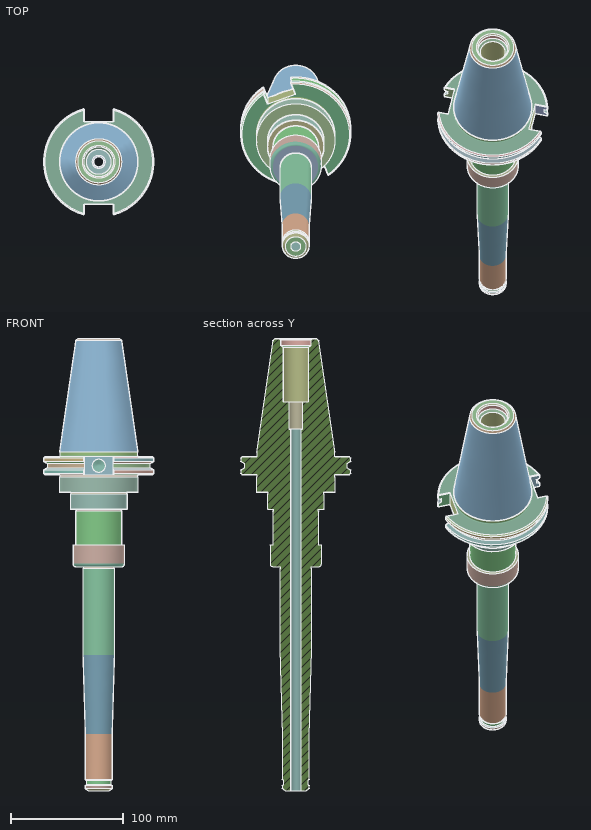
import cadquery as cq
import math

length = 402.0
edge_tolerance = 0.05

taper_depth = 101.0
gauge_diameter = 70.0
taper_ratio = 7 / 24
tip_diameter = gauge_diameter - taper_ratio * taper_depth
tip_chamfer = 1.5
relief_depth = 0.5
relief_diameter = gauge_diameter - 2 * relief_depth
relief_fillet = 1.0

flange_diameter = 98.0
flange_top = 105.0
flange_thickness = 16.0
flange_bottom = flange_top + flange_thickness
flange_chamfer = 1.2
flange_middle = flange_top + flange_thickness / 2
groove_root_diameter = 91.5
groove_root_width = 3.5
groove_flank_angle = 30
groove_depth = (flange_diameter - groove_root_diameter) / 2
groove_rim_width = groove_root_width + 2 * groove_depth * math.tan(math.radians(groove_flank_angle))

slot_width = 25.7
slot_edge_chamfer = 0.6
front_slot_floor = 37.8
back_slot_floor = 35.8
slot_hole_diameter = 11.5
slot_hole_depth = 1.2
drill_point_angle = 140

shoulder_start = 123.0
undercut_depth, undercut_height = 0.5, 1.2
shoulder_diameter, shoulder_end = gauge_diameter, 136.5
collar_diameter, collar_end = 50.5, 152.0
collar_chamfer = 0.5
neck_diameter, neck_end = 41.0, 183.3
nut_diameter, nut_end = 46.0, 203.0
nut_fillet = 3.0
stem_diameter, stem_end = 28.0, 281.5
cone_end = 351.3
pilot_diameter = 24.0

ring_groove_top, ring_groove_bottom = 392.0, 397.0
ring_groove_diameter = 22.0
ring_groove_bevel = 1.0
end_diameter = 18.5
end_chamfer_height = 2.0

mouth_diameter = 29.0
counterbore_diameter = 26.5
mouth_chamfer = (mouth_diameter - counterbore_diameter) / 2
counterbore_depth = 6.0
bore_diameter = 22.0
bore_bevel_height = 2.0
bore_depth = 56.3
entry_diameter = 11.5
through_diameter = 9.0
entry_depth = 80.5


def revolve(stations):
    """Solid of revolution about Z through (diameter, depth) stations, closed along the axis."""
    points = [(diameter / 2, length - depth) for diameter, depth in stations]
    outline = [(0, points[0][1])] + points + [(0, points[-1][1])]
    return cq.Workplane("XZ").polyline(outline).close().revolve(360, (0, 0), (0, 1))


def round_edge(solid, diameter, depth, radius):
    """Fillet the circular edge of the given diameter at the given depth."""
    height = length - depth

    def is_wanted(edge):
        same_size = abs(edge.radius() - diameter / 2) < edge_tolerance
        same_height = abs(edge.Center().z - height) < edge_tolerance
        return same_size and same_height

    return solid.edges("%CIRCLE").filter(is_wanted).fillet(radius)


def undercut(diameter, start):
    """Stations of a shallow square undercut at the top of a cylinder of the given diameter."""
    root_diameter = diameter - 2 * undercut_depth
    end = start + undercut_height
    return [(root_diameter, start), (root_diameter, end), (diameter, end)]


def make_body():
    rim = flange_diameter - 2 * flange_chamfer
    body = revolve([
        (tip_diameter - 2 * tip_chamfer, 0),
        (tip_diameter + taper_ratio * tip_chamfer, tip_chamfer),
        (gauge_diameter, taper_depth),
        (relief_diameter, taper_depth),
        (relief_diameter, flange_top),
        (rim, flange_top),
        (flange_diameter, flange_top + flange_chamfer),
        (flange_diameter, flange_middle - groove_rim_width / 2),
        (groove_root_diameter, flange_middle - groove_root_width / 2),
        (groove_root_diameter, flange_middle + groove_root_width / 2),
        (flange_diameter, flange_middle + groove_rim_width / 2),
        (flange_diameter, flange_bottom - flange_chamfer),
        (rim, flange_bottom),
        (relief_diameter, flange_bottom),
        (relief_diameter, shoulder_start),
        (shoulder_diameter, shoulder_start),
        (shoulder_diameter, shoulder_end),
        *undercut(collar_diameter, shoulder_end),
        (collar_diameter, collar_end - collar_chamfer),
        (collar_diameter - 2 * collar_chamfer, collar_end),
        *undercut(neck_diameter, collar_end),
        (neck_diameter, neck_end),
        (nut_diameter, neck_end),
        (nut_diameter, nut_end),
        *undercut(stem_diameter, nut_end),
        (stem_diameter, stem_end),
        (pilot_diameter, cone_end),
        (pilot_diameter, ring_groove_top),
        (ring_groove_diameter, ring_groove_top + ring_groove_bevel),
        (ring_groove_diameter, ring_groove_bottom - ring_groove_bevel),
        (pilot_diameter, ring_groove_bottom),
        (pilot_diameter, length - end_chamfer_height),
        (end_diameter, length),
    ])
    body = round_edge(body, relief_diameter, flange_top, relief_fillet)
    body = round_edge(body, relief_diameter, flange_bottom, relief_fillet)
    return round_edge(body, nut_diameter, nut_end, nut_fillet)


def make_bore():
    return revolve([
        (mouth_diameter, 0),
        (counterbore_diameter, mouth_chamfer),
        (counterbore_diameter, counterbore_depth),
        (bore_diameter, counterbore_depth + bore_bevel_height),
        (bore_diameter, bore_depth),
        (entry_diameter, bore_depth),
        (entry_diameter, entry_depth),
        (through_diameter, entry_depth),
        (through_diameter, length),
    ])


def make_drive_slot(slot_floor):
    """Slot through the -Y side of the flange, with its wall edges broken by small chamfers."""
    outer = flange_diameter / 2
    half_width = slot_width / 2
    wide = half_width + slot_edge_chamfer
    corner = math.sqrt(outer**2 - wide**2)
    half_plan = [
        (half_width, -slot_floor),
        (half_width, slot_edge_chamfer - corner),
        (wide, -corner),
        (wide, -outer),
    ]
    plan = half_plan + [(-x, y) for x, y in reversed(half_plan)]
    slot = cq.Workplane("XY").polyline(plan).close().extrude(flange_thickness)

    inset = flange_thickness - slot_edge_chamfer
    half_section = [
        (wide, 0),
        (half_width, slot_edge_chamfer),
        (half_width, inset),
        (wide, flange_thickness),
    ]
    section = half_section + [(-x, z) for x, z in reversed(half_section)]
    floor_plane = cq.Workplane("XZ", origin=(0, -slot_floor, 0))
    edge_breaks = floor_plane.polyline(section).close().extrude(outer - slot_floor)
    return slot.union(edge_breaks).translate((0, 0, length - flange_bottom))


def make_slot_hole():
    """Shallow drilled hole with a conical point, running in +Y from the front slot floor."""
    radius = slot_hole_diameter / 2
    point_height = radius / math.tan(math.radians(drill_point_angle / 2))
    profile = [
        (0, -front_slot_floor),
        (radius, -front_slot_floor),
        (radius, -front_slot_floor + slot_hole_depth),
        (0, -front_slot_floor + slot_hole_depth + point_height),
    ]
    hole = cq.Workplane("XY").polyline(profile).close().revolve(360, (0, 0), (0, 1))
    return hole.translate((0, 0, length - flange_middle))


front_slot = make_drive_slot(front_slot_floor)
back_slot = make_drive_slot(back_slot_floor).rotate((0, 0, 0), (0, 0, 1), 180)
result = make_body().cut(make_bore()).cut(front_slot).cut(back_slot).cut(make_slot_hole())
result = result.translate((0, 0, -length / 2))